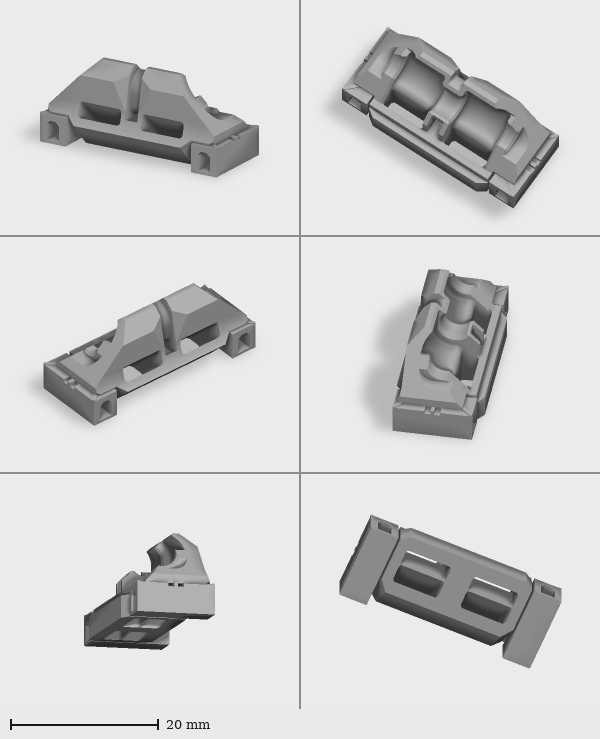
import cadquery as cq
import math

REACH = 56.2
BELOW = -0.85
TOUCHING = 0.0003

TOTAL_LENGTH = 28.1
BLOCK_WIDTH = 4.02
BLOCK_FRONT = -5.65
BLOCK_BACK = 5.28
BLOCK_TOP = 4.25
RIDGE_HEIGHT = 0.17
DECK_Z = BLOCK_TOP - RIDGE_HEIGHT
RIDGE_LEG = 0.35
SPINE_WIDTH = 0.5
TRENCH_WIDTH = 0.85
TRENCH_FLOOR = 3.62
TUNNEL_WIDTH = 2.02
TUNNEL_FLOOR = 0.42
TUNNEL_TOP = 3.23
TUNNEL_CHAMFER = 0.6

HALF_LENGTH = 13.15
HALF_BASE = 9.7
BACK_Y = 6.07
BACK_LEDGE_Z = 3.05
STEP_Y = 5.11
STEP_Z = BLOCK_TOP
RIB_BACK_Y = 4.1
FRONT_Y = -4.72
FLARE_Z = 6.63
FLARE_RADIUS = 4.6
UNDERCUT_FOOT_Y = -2.87
TOP_Z = 12.4
TOP_FRONT_Y = -2.65
MOUTH_SUM = 10.5
SHOULDER_SUM = 8.35
SHOULDER_BACK_Y = 3.8
SHOULDER_LIP_Y = -5.25
SHOULDER_LIP_HEIGHT = 0.22
SHOULDER_LIP_SETBACK = 0.05
SHOULDER_FACET_Y = -4.52
SHOULDER_FACET_TOP_Y = -5.11
SHOULDER_FACET_HEIGHT = 0.53
SHOULDER_FACET_RUN = 0.85
END_SUM = 18.57
BASE_CHAMFER_X = 1.2
BACK_CHAMFER_Y = 0.87

BORE_Y = 0.7
BORE_Z = 9.25
BORE_RADIUS = 2.14
CHAMBER_RADIUS = 3.5
CHAMBER_INNER = 1.65
CHAMBER_OUTER = 8.3
END_RIB_OUTER = 10.28
MIDDLE_BEVEL = 0.3
END_BEVEL = 0.4
BLUNTING_RADIUS = 3.48
SHAFT_FRONT_Y = 1.65
CORNER_RADIUS = 0.45
POCKET_FLOOR = 6.43
POCKET_BLEND = 2.25

WINDOW_LOW_SUM = -0.93
WINDOW_HIGH_SUM = 1.85

TIE_HALF_WIDTH = 0.98
TIE_CORE_FRONT = -3.43
TIE_CORE_BACK = 2.7
TIE_CORE_TOP = 11.45
TIE_CORE_BOTTOM = 5.48
TIE_TOP_RADIUS = 2.67
TIE_BOTTOM_RADIUS = 1.57
TIE_CORNER_RADIUS = 0.35
TIE_FLOOR_RADIUS = 2.0
TIE_FLOOR_Y = -3.15
TIE_FLOOR_ANGLE = 50.0
TIE_FLARE_X = 2.95
TIE_FLARE_LOW_Z = 6.15
TIE_FLARE_STEP = 0.95

ROOT_HALF = math.sqrt(0.5)
TIP_Y = FRONT_Y - FLARE_RADIUS * (1 - ROOT_HALF)
TIP_Z = FLARE_Z - FLARE_RADIUS * ROOT_HALF


def box(x_min, x_max, y_min, y_max, z_min, z_max):
    """Axis-aligned box given by its limits."""
    size = (x_max - x_min, y_max - y_min, z_max - z_min)
    return cq.Workplane("XY").box(*size, centered=False).translate((x_min, y_min, z_min))


def side_box(side, x_near, x_far, y_min, y_max, z_min, z_max):
    """Box between two |x| values on one side (-1 or 1) of the middle."""
    x_min, x_max = sorted((side * x_near, side * x_far))
    return box(x_min, x_max, y_min, y_max, z_min, z_max)


def yz_sketch(x):
    """Workplane at the given x whose local axes are Y and Z."""
    return cq.Workplane("YZ", origin=(x, 0, 0))


def tetrahedron(corners):
    """Solid with four triangular faces."""
    faces = []
    for skipped in range(4):
        triangle = [cq.Vector(*corner) for i, corner in enumerate(corners) if i != skipped]
        faces.append(cq.Face.makeFromWires(cq.Wire.makePolygon(triangle, close=True)))
    return cq.Workplane(cq.Solid.makeSolid(cq.Shell.makeShell(faces)))


def bore_point(radius, degrees):
    """Point (y, z) on a circle around the bore axis."""
    angle = math.radians(degrees)
    return (BORE_Y + radius * math.cos(angle), BORE_Z + radius * math.sin(angle))


def saddle_blank():
    """Cross-section of the saddle swept over its full length, with the sloped ends cut."""
    mid_angle = math.radians(45 / 2)
    flare_middle = (
        FRONT_Y - FLARE_RADIUS * (1 - math.cos(mid_angle)),
        FLARE_Z - FLARE_RADIUS * math.sin(mid_angle),
    )
    blank = (
        yz_sketch(-HALF_LENGTH)
        .moveTo(UNDERCUT_FOOT_Y, 0)
        .lineTo(BACK_Y, 0)
        .lineTo(BACK_Y, BACK_LEDGE_Z)
        .lineTo(STEP_Y, BACK_LEDGE_Z)
        .lineTo(STEP_Y, STEP_Z)
        .lineTo(RIB_BACK_Y, STEP_Z)
        .lineTo(RIB_BACK_Y, MOUTH_SUM - RIB_BACK_Y)
        .lineTo(MOUTH_SUM - TOP_Z, TOP_Z)
        .lineTo(TOP_FRONT_Y, TOP_Z)
        .lineTo(FRONT_Y, TOP_Z + FRONT_Y - TOP_FRONT_Y)
        .lineTo(FRONT_Y, FLARE_Z)
        .threePointArc(flare_middle, (TIP_Y, TIP_Z))
        .close()
        .extrude(2 * HALF_LENGTH)
    )
    ends = (
        cq.Workplane("XZ")
        .polyline([
            (-END_SUM, 0),
            (END_SUM, 0),
            (0, END_SUM),
        ])
        .close()
        .extrude(REACH / 2, both=True)
    )
    return blank.intersect(ends)


def shoulder_cuts(side):
    """Material removed around one overhanging shoulder."""
    under = side_box(side, HALF_BASE, REACH, -REACH, REACH, BELOW, BLOCK_TOP)
    behind = side_box(side, HALF_BASE, REACH, SHOULDER_BACK_Y, REACH, BELOW, REACH)
    slope = (
        yz_sketch(side * (CHAMBER_OUTER - CORNER_RADIUS))
        .polyline([
            (RIB_BACK_Y, SHOULDER_SUM - RIB_BACK_Y),
            (RIB_BACK_Y, REACH),
            (SHOULDER_SUM - REACH, REACH),
        ])
        .close()
        .extrude(side * REACH)
    )
    return under.union(behind).union(slope)


def shoulder_lip_cut(side):
    """Low lip along the front of a shoulder, leaning slightly back toward its bottom."""
    lip_top = BLOCK_TOP + SHOULDER_LIP_HEIGHT
    clear_y = 2 * SHOULDER_LIP_Y
    return (
        yz_sketch(side * HALF_BASE)
        .polyline([
            (SHOULDER_LIP_Y, lip_top),
            (SHOULDER_LIP_Y + SHOULDER_LIP_SETBACK, BLOCK_TOP),
            (clear_y, BLOCK_TOP),
            (clear_y, lip_top),
        ])
        .close()
        .extrude(side * REACH)
    )


def shoulder_facet(side):
    """Undercut facet on the lower front corner of a shoulder."""
    end_x = side * HALF_LENGTH
    run = SHOULDER_FACET_RUN
    return tetrahedron([
        (end_x, SHOULDER_FACET_TOP_Y, BLOCK_TOP + SHOULDER_FACET_HEIGHT),
        (end_x, SHOULDER_FACET_Y, BLOCK_TOP),
        (end_x - side * run, SHOULDER_FACET_Y - run, BLOCK_TOP),
        (end_x, SHOULDER_FACET_Y - 2 * run, BLOCK_TOP),
    ])


def base_corner_cuts(side):
    """Chamfers at one end of the base: along the sloped underside, and upright at the back."""
    underside = (0, UNDERCUT_FOOT_Y - TIP_Y, -TIP_Z)
    along_underside = cq.Plane(origin=(0, TIP_Y, TIP_Z), xDir=(1, 0, 0), normal=underside)
    start_x = HALF_BASE - BASE_CHAMFER_X
    front = (
        cq.Workplane(along_underside)
        .polyline([
            (side * start_x, 0),
            (side * HALF_BASE, 0),
            (side * HALF_BASE, -BASE_CHAMFER_X),
        ])
        .close()
        .extrude(REACH / 2, both=True)
    )
    back = (
        cq.Workplane("XY")
        .polyline([
            (side * start_x, BACK_Y),
            (side * HALF_BASE, BACK_Y),
            (side * HALF_BASE, BACK_Y - BACK_CHAMFER_Y),
        ])
        .close()
        .extrude(REACH)
    )
    return front.union(back)


def chamber(side):
    """Wide trough between the middle rib and an end rib, dropping through the base at the back."""
    mouth_offset = (MOUTH_SUM - BORE_Y - BORE_Z) * ROOT_HALF
    rim_angle = 135 - math.degrees(math.asin(mouth_offset / CHAMBER_RADIUS))
    rim_y, rim_z = bore_point(CHAMBER_RADIUS, rim_angle)
    run_out = 1.12
    tangent = math.radians(rim_angle - 90)
    lead_in = (rim_y + run_out * math.cos(tangent), rim_z + run_out * math.sin(tangent))
    lip = SHAFT_FRONT_Y - BORE_Y
    floor_z = BORE_Z - CHAMBER_RADIUS
    lip_middle = (BORE_Y + lip * ROOT_HALF, floor_z - lip * (1 - ROOT_HALF))
    return (
        yz_sketch(side * CHAMBER_INNER)
        .moveTo(*lead_in)
        .lineTo(rim_y, rim_z)
        .threePointArc(bore_point(CHAMBER_RADIUS, 200), (BORE_Y, floor_z))
        .threePointArc(lip_middle, (SHAFT_FRONT_Y, floor_z - lip))
        .lineTo(SHAFT_FRONT_Y, BELOW)
        .lineTo(RIB_BACK_Y, BELOW)
        .lineTo(RIB_BACK_Y, STEP_Z)
        .lineTo(STEP_Y, STEP_Z)
        .lineTo(STEP_Y, lead_in[1])
        .close()
        .extrude(side * (CHAMBER_OUTER - CHAMBER_INNER))
        .faces("|X").edges().fillet(CORNER_RADIUS)
    )


def window(side):
    """Rounded slot running down at 45 degrees from the front through the base."""
    slot_plane = cq.Plane(origin=(0, 0, 0), xDir=(1, 0, 0), normal=(0, 1, -1))
    height = (WINDOW_HIGH_SUM - WINDOW_LOW_SUM) * ROOT_HALF
    centre = (WINDOW_HIGH_SUM + WINDOW_LOW_SUM) / 2 * ROOT_HALF
    return (
        cq.Workplane(slot_plane)
        .center(side * (CHAMBER_INNER + CHAMBER_OUTER) / 2, -centre)
        .rect(CHAMBER_OUTER - CHAMBER_INNER, height)
        .extrude(REACH / 4, both=True)
        .edges("|(0,1,-1)").fillet(CORNER_RADIUS)
    )


def end_pocket(side):
    """Recess in a sloped end, outside the end rib: a flat floor blended into the chamber radius."""
    blend_z = POCKET_FLOOR + POCKET_BLEND
    offset = CHAMBER_RADIUS - POCKET_BLEND
    angle = 180 + math.degrees(math.asin((BORE_Z - blend_z) / offset))
    blend_y = bore_point(offset, angle)[0]
    middle = math.radians((angle + 270) / 2)
    blend_middle = (blend_y + POCKET_BLEND * math.cos(middle), blend_z + POCKET_BLEND * math.sin(middle))
    return (
        yz_sketch(side * END_RIB_OUTER)
        .moveTo(BACK_Y, POCKET_FLOOR)
        .lineTo(blend_y, POCKET_FLOOR)
        .threePointArc(blend_middle, bore_point(CHAMBER_RADIUS, angle))
        .threePointArc(bore_point(CHAMBER_RADIUS, (angle + 180) / 2), bore_point(CHAMBER_RADIUS, 180))
        .lineTo(BACK_Y, BORE_Z)
        .close()
        .extrude(side * REACH)
    )


def bore(radius):
    """Long cylinder around the bore axis."""
    return yz_sketch(-REACH / 2).center(BORE_Y, BORE_Z).circle(radius).extrude(REACH)


def bore_bevel(face_x, into, depth):
    """Conical bevel where the bore meets a rib face; `into` is the X direction into the rib."""
    cone = cq.Solid.makeCone(
        BORE_RADIUS + depth, BORE_RADIUS, depth,
        cq.Vector(face_x, BORE_Y, BORE_Z), cq.Vector(into, 0, 0),
    )
    return cq.Workplane(cone)


def slope_bevel(side, face_x, into):
    """Bevel where an end rib face meets the shoulder slope; `into` is the |x| direction into the rib."""
    slope_plane = cq.Plane(
        origin=(0, RIB_BACK_Y, SHOULDER_SUM - RIB_BACK_Y), xDir=(1, 0, 0), normal=(0, 1, -1),
    )
    return (
        cq.Workplane(slope_plane)
        .polyline([
            (side * face_x, 0),
            (side * (face_x + into * END_BEVEL), 0),
            (side * face_x, END_BEVEL),
        ])
        .close()
        .extrude(REACH / 4, both=True)
    )


def end_rib_bevels(side):
    """Bevels along the upper edges of both faces of an end rib."""
    in_front_of_step = box(-REACH, REACH, -REACH, RIB_BACK_Y, BELOW, REACH)
    above_pocket = box(-REACH, REACH, -REACH, RIB_BACK_Y, POCKET_FLOOR, REACH)
    inner = slope_bevel(side, CHAMBER_OUTER, 1).intersect(in_front_of_step)
    outer = slope_bevel(side, END_RIB_OUTER, -1).intersect(above_pocket)
    return inner.union(outer)


def end_rib_blunting(side):
    """Blunts the sharp edge between an end rib and the sloped end, around the bore."""
    half_wedge = math.radians(45 / 2)
    leg = END_BEVEL / math.tan(half_wedge)
    edge_z = END_SUM - CHAMBER_OUTER
    outer_x = CHAMBER_OUTER + leg * ROOT_HALF
    outer_z = edge_z - leg * ROOT_HALF
    inner_x = CHAMBER_OUTER - CORNER_RADIUS
    inner_z = outer_z - (outer_x - inner_x) * math.tan(half_wedge)
    prism = (
        cq.Workplane("XZ")
        .polyline([
            (side * outer_x, outer_z),
            (side * inner_x, inner_z),
            (side * inner_x, TOP_Z),
            (side * outer_x, TOP_Z),
        ])
        .close()
        .extrude(REACH / 2, both=True)
    )
    return prism.intersect(bore(BLUNTING_RADIUS))


def rib_tip_cut():
    """Flat on the rear tip of the middle rib, level with the back of the tie core."""
    tip_z = MOUTH_SUM - TIE_CORE_BACK
    return box(-CHAMBER_INNER, CHAMBER_INNER, BORE_Y, BACK_Y, tip_z, TOP_Z)


def tie_core():
    """Material that the tie wraps around."""
    left = TIE_CORE_FRONT
    top = TIE_CORE_TOP
    low = TIE_CORE_BOTTOM
    big = TIE_TOP_RADIUS
    small = TIE_BOTTOM_RADIUS
    return (
        yz_sketch(-TIE_HALF_WIDTH)
        .moveTo(TIE_CORE_BACK, top)
        .lineTo(left + big, top)
        .radiusArc((left, top - big), -big)
        .lineTo(left, low + small)
        .radiusArc((left + small, low), -small)
        .lineTo(TIE_CORE_BACK - small, low)
        .radiusArc((TIE_CORE_BACK, low + small), -small)
        .close()
        .extrude(2 * TIE_HALF_WIDTH)
    )


def tie_groove():
    """Channel for a tie: down the front, under the bore and out at the back."""
    rise = math.radians(TIE_FLOOR_ANGLE)
    half_rise = rise / 2
    arc_y = TIE_FLOOR_Y - TIE_FLOOR_RADIUS * math.sin(rise)
    arc_z = STEP_Z + TIE_FLOOR_RADIUS * (1 - math.cos(rise))
    arc_middle = (
        TIE_FLOOR_Y - TIE_FLOOR_RADIUS * math.sin(half_rise),
        STEP_Z + TIE_FLOOR_RADIUS * (1 - math.cos(half_rise)),
    )
    run_out = 2.25
    above = TOP_Z + run_out
    core = tie_core()
    channel = (
        yz_sketch(-TIE_HALF_WIDTH)
        .moveTo(BACK_Y, STEP_Z)
        .lineTo(TIE_FLOOR_Y, STEP_Z)
        .threePointArc(arc_middle, (arc_y, arc_z))
        .lineTo(arc_y - run_out, arc_z + run_out * math.tan(rise))
        .lineTo(arc_y - run_out, above)
        .lineTo(BACK_Y, above)
        .close()
        .extrude(2 * TIE_HALF_WIDTH)
        .cut(core)
    )
    core_solid = core.val()
    inner_edges = [
        edge for edge in channel.faces("|X").edges().vals()
        if cq.Vertex.makeVertex(*edge.positionAt(0.5).toTuple()).distance(core_solid) < TOUCHING
    ]
    return channel.newObject(inner_edges).fillet(TIE_CORNER_RADIUS)


def tie_flare(side):
    """Flat facet that widens the tie groove at the front."""
    brow_z = TOP_Z + FRONT_Y - TOP_FRONT_Y
    return tetrahedron([
        (side * TIE_FLARE_X, FRONT_Y, brow_z),
        (side * TIE_HALF_WIDTH, FRONT_Y, brow_z),
        (side * TIE_HALF_WIDTH, FRONT_Y + TIE_FLARE_STEP, brow_z + TIE_FLARE_STEP),
        (side * TIE_HALF_WIDTH, FRONT_Y, TIE_FLARE_LOW_Z),
    ])


def make_saddle():
    saddle = saddle_blank()
    for side in (-1, 1):
        saddle = saddle.cut(shoulder_cuts(side))
        saddle = saddle.cut(shoulder_lip_cut(side))
        saddle = saddle.cut(shoulder_facet(side))
        saddle = saddle.cut(base_corner_cuts(side))
        saddle = saddle.cut(chamber(side))
        saddle = saddle.cut(window(side))
        saddle = saddle.cut(end_pocket(side))
        saddle = saddle.cut(end_rib_bevels(side))
        saddle = saddle.cut(end_rib_blunting(side))
        saddle = saddle.cut(bore_bevel(side * CHAMBER_INNER, -side, MIDDLE_BEVEL))
        saddle = saddle.cut(bore_bevel(side * CHAMBER_OUTER, side, END_BEVEL))
        saddle = saddle.cut(bore_bevel(side * END_RIB_OUTER, -side, END_BEVEL))
        saddle = saddle.cut(tie_flare(side))
    return saddle.cut(rib_tip_cut()).cut(bore(BORE_RADIUS)).cut(tie_groove())


def corner_ridge(side, corner_y, inward):
    """Raised strip running at 45 degrees from an outer corner of a block to its inner side."""
    outer_x = TOTAL_LENGTH / 2
    outline = [
        (0, 0),
        (RIDGE_LEG, 0),
        (BLOCK_WIDTH, BLOCK_WIDTH - RIDGE_LEG),
        (BLOCK_WIDTH, BLOCK_WIDTH + RIDGE_LEG),
        (0, RIDGE_LEG),
    ]
    points = [(side * (outer_x - across), corner_y + inward * along) for across, along in outline]
    return cq.Workplane("XY").workplane(offset=DECK_Z).polyline(points).close().extrude(RIDGE_HEIGHT)


def make_end_block(side):
    outer_x = TOTAL_LENGTH / 2
    inner_x = outer_x - BLOCK_WIDTH
    middle_y = (BLOCK_FRONT + BLOCK_BACK) / 2
    spine_half = SPINE_WIDTH / 2
    trench_half = spine_half + TRENCH_WIDTH

    block = side_box(side, inner_x, outer_x, BLOCK_FRONT, BLOCK_BACK, 0, DECK_Z)
    block = block.union(corner_ridge(side, BLOCK_BACK, -1))
    block = block.union(corner_ridge(side, BLOCK_FRONT, 1))

    trench = side_box(
        side, inner_x, outer_x, middle_y - trench_half, middle_y + trench_half, TRENCH_FLOOR, BLOCK_TOP,
    )
    spine = side_box(
        side, inner_x, outer_x, middle_y - spine_half, middle_y + spine_half, TRENCH_FLOOR, BLOCK_TOP,
    )
    block = block.cut(trench).union(spine)

    tunnel_middle = (inner_x + outer_x) / 2
    tunnel = side_box(
        side, tunnel_middle - TUNNEL_WIDTH / 2, tunnel_middle + TUNNEL_WIDTH / 2,
        BLOCK_FRONT, BLOCK_BACK, TUNNEL_FLOOR, TUNNEL_TOP,
    )
    return block.cut(tunnel.edges("|Y and >Z").chamfer(TUNNEL_CHAMFER))


saddle = make_saddle()
end_blocks = [make_end_block(side) for side in (-1, 1)]

result = cq.Compound.makeCompound([saddle.val(), *[block.val() for block in end_blocks]])